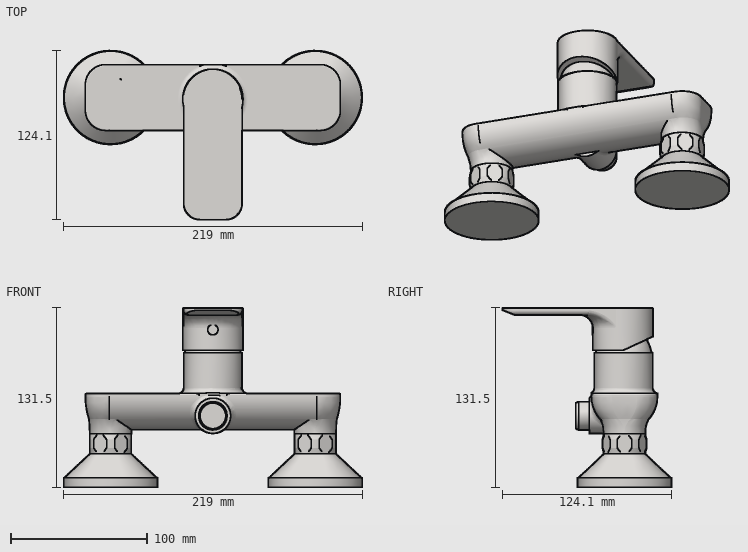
import cadquery as cq
import math

TOTAL_HEIGHT = 131.47
LEVER_TIP_Y = -89.58
INLET_SPACING = 150.0

ESCUTCHEON_RADIUS = 34.5
ESCUTCHEON_RIM_HEIGHT = 7.0
CONE_BASE_RADIUS = 34.0

NUT_BOTTOM = 24.5
NUT_TOP = 39.4
NUT_RADIUS = 16.3
NUT_END_RADIUS = 15.3
NUT_TAPER = 4.5
NUT_ACROSS_FLATS = 30.7

COLLAR_RADIUS = 15.4
COLLAR_CORNER = 15.3
COLLAR_WAIST_Z = 46.0
COLLAR_WAIST_FRACTION = 0.3
COLLAR_TOP = 50.0

BODY_LENGTH = 187.0
BODY_RADIUS = 24.2
BODY_AXIS_Z = 66.35
BODY_TOP = 68.8
BODY_CORNER_RADIUS = 15.0
BODY_TOP_FILLET = 1.2
SHOULDER_SECTIONS = 5
SHOULDER_BASE_CORNER = 13.5
STRAIGHT_HALF_LENGTH = 76.0
END_INSET = 2.6

OUTLET_Z = 52.4
BOSS_RADIUS = 13.0
BOSS_FACE_Y = -25.8
BOSS_BLEND = 4.0
OUTLET_RADIUS = 10.4
OUTLET_TIP_Y = -35.9
OUTLET_CHAMFER_LENGTH = 2.2
OUTLET_CHAMFER_DEPTH = 1.0

TOWER_Y = -0.7
TOWER_RADIUS = 21.5
TOWER_TOP = 98.7
TOWER_FLARE = 4.1

NECK_RADIUS = 20.6
NECK_TOP_RADIUS = 16.0
NECK_TOP = 110.0
NECK_BULGE = 0.6

HANDLE_Y = -1.2
HANDLE_RADIUS = 22.1
HANDLE_BOTTOM = 100.3
HANDLE_BACK_BOTTOM = 110.5
LEVER_THICKNESS = 5.2
LEVER_HALF_WIDTH = 21.5
LEVER_CORNER_RADIUS = 12.0
LEVER_TOP_FILLET = 0.8
LEVER_TIP_THICKNESS = 1.6
LEVER_TIP_SLOPE_LENGTH = 9.0
LEVER_BLEND_RADIUS = 9.6
LEVER_EDGE_RADIUS = 3.4
LEVER_ROOT_Z = HANDLE_BOTTOM + 1.0
BUTTON_RADIUS = 3.8
BUTTON_Z = 115.5
BUTTON_PROUD = 0.2


def inlet(x):
    """Escutcheon and union nut of one wall connection."""
    escutcheon = (
        cq.Workplane("XZ")
        .polyline([
            (0, 0),
            (ESCUTCHEON_RADIUS, 0),
            (ESCUTCHEON_RADIUS, ESCUTCHEON_RIM_HEIGHT),
            (CONE_BASE_RADIUS, ESCUTCHEON_RIM_HEIGHT),
            (NUT_END_RADIUS, NUT_BOTTOM),
            (0, NUT_BOTTOM),
        ])
        .close()
        .revolve(360, (0, 0), (0, 1))
    )
    nut_round = (
        cq.Workplane("XZ")
        .polyline([
            (0, NUT_BOTTOM),
            (NUT_END_RADIUS, NUT_BOTTOM),
            (NUT_RADIUS, NUT_BOTTOM + NUT_TAPER),
            (NUT_RADIUS, NUT_TOP - NUT_TAPER),
            (NUT_END_RADIUS, NUT_TOP),
            (0, NUT_TOP),
        ])
        .close()
        .revolve(360, (0, 0), (0, 1))
    )
    hexagon = (
        cq.Workplane("XY", origin=(0, 0, NUT_BOTTOM))
        .polygon(6, NUT_ACROSS_FLATS, circumscribed=True)
        .extrude(NUT_TOP - NUT_BOTTOM)
    )
    return escutcheon.union(nut_round.intersect(hexagon)).translate((x, 0, 0))


def body_plan(bottom, top):
    """Rounded rectangle of the body between two heights."""
    return (
        cq.Workplane("XY", origin=(0, 0, bottom))
        .rect(BODY_LENGTH, 2 * BODY_RADIUS)
        .extrude(top - bottom)
        .edges("|Z")
        .fillet(BODY_CORNER_RADIUS)
    )


def shoulder_section(z):
    """Half length, half width and corner radius of the body at a height below its axis."""
    drop = (BODY_AXIS_Z - z) / (BODY_AXIS_Z - COLLAR_TOP)
    half_length = BODY_LENGTH / 2 - END_INSET * drop ** 2
    half_width = math.sqrt(BODY_RADIUS ** 2 - (BODY_AXIS_Z - z) ** 2)
    corner = BODY_CORNER_RADIUS + (SHOULDER_BASE_CORNER - BODY_CORNER_RADIUS) * drop
    return half_length, half_width, corner


def rounded_wire(half_length, half_width, corner, x, z):
    """Horizontal rounded rectangle centred at (x, 0, z)."""
    block = (
        cq.Workplane("XY", origin=(x, 0, z))
        .rect(2 * half_length, 2 * half_width)
        .extrude(1)
        .edges("|Z")
        .fillet(corner)
    )
    return block.faces("<Z").wires().val()


def collar(x):
    """Stub that necks down from the end of the body to the round top of a union nut."""
    body_half_length, top_half_width, top_corner = shoulder_section(COLLAR_TOP)
    top_half_length = body_half_length - INLET_SPACING / 2
    wires = []
    for z, fraction in ((COLLAR_TOP, 1), (COLLAR_WAIST_Z, COLLAR_WAIST_FRACTION), (NUT_TOP, 0)):
        half_length = COLLAR_RADIUS + (top_half_length - COLLAR_RADIUS) * fraction
        half_width = COLLAR_RADIUS + (top_half_width - COLLAR_RADIUS) * fraction
        corner = COLLAR_CORNER + (top_corner - COLLAR_CORNER) * fraction
        wires.append(rounded_wire(half_length, half_width, corner, x, z))
    return cq.Workplane(cq.Solid.makeLoft(wires))


def shoulders():
    """Tapering middle of the body, from its axis down to the collars."""
    depth = BODY_AXIS_Z - COLLAR_TOP
    wires = []
    for step in range(SHOULDER_SECTIONS):
        z = BODY_AXIS_Z - depth * step / (SHOULDER_SECTIONS - 1)
        half_length, half_width, corner = shoulder_section(z)
        wires.append(rounded_wire(half_length, half_width, corner, 0, z))
    return cq.Workplane(cq.Solid.makeLoft(wires))


def bar():
    """Half-round bar with tapered ends and a filleted flat top."""
    straight_length = 2 * STRAIGHT_HALF_LENGTH
    u_bar = (
        cq.Workplane("YZ", origin=(-STRAIGHT_HALF_LENGTH, 0, 0))
        .moveTo(-BODY_RADIUS, BODY_AXIS_Z)
        .threePointArc((0, BODY_AXIS_Z - BODY_RADIUS), (BODY_RADIUS, BODY_AXIS_Z))
        .close()
        .extrude(straight_length)
    )
    middle = cq.Workplane("XY").box(straight_length, 2 * BODY_LENGTH, 2 * TOTAL_HEIGHT)
    top_slab = body_plan(BODY_AXIS_Z, BODY_TOP).faces(">Z").edges().fillet(BODY_TOP_FILLET)
    return u_bar.union(shoulders().cut(middle)).union(top_slab)


def outlet():
    """Boss and spigot of the outlet."""
    blend_half_length = BOSS_RADIUS + 2 * BOSS_BLEND
    core = (
        cq.Workplane("YZ", origin=(-blend_half_length, 0, 0))
        .center(0, BODY_AXIS_Z)
        .circle(BODY_RADIUS)
        .extrude(2 * blend_half_length)
        .rotate((0, 0, BODY_AXIS_Z), (1, 0, BODY_AXIS_Z), 90)
    )
    boss = (
        cq.Workplane("XZ", origin=(0, -BOSS_FACE_Y, 0))
        .center(0, OUTLET_Z)
        .circle(BOSS_RADIUS)
        .extrude(-2 * BOSS_FACE_Y)
        .rotate((0, 0, OUTLET_Z), (0, 1, OUTLET_Z), 90)
    )
    blended = core.union(boss).edges("%BSPLINE").fillet(BOSS_BLEND)
    front_half = cq.Workplane("XY").box(
        4 * blend_half_length,
        -BOSS_FACE_Y,
        BODY_TOP - BODY_TOP_FILLET,
        centered=(True, False, False),
    ).translate((0, BOSS_FACE_Y, 0))
    boss = blended.intersect(front_half)
    chamfer_y = OUTLET_TIP_Y + OUTLET_CHAMFER_LENGTH
    spigot = (
        cq.Workplane("XY")
        .polyline([
            (0, 0),
            (OUTLET_RADIUS, 0),
            (OUTLET_RADIUS, chamfer_y),
            (OUTLET_RADIUS - OUTLET_CHAMFER_DEPTH, OUTLET_TIP_Y),
            (0, OUTLET_TIP_Y),
        ])
        .close()
        .revolve(360, (0, 0), (0, 1))
        .translate((0, 0, OUTLET_Z))
    )
    return boss.union(spigot)


def tower():
    """Cartridge tower with a concave flare at its foot, kept inside the body outline."""
    flare_radius = TOWER_RADIUS + TOWER_FLARE
    inset = TOWER_FLARE * (1 - math.sqrt(0.5))
    profile = (
        cq.Workplane("XZ")
        .moveTo(0, BODY_AXIS_Z)
        .lineTo(flare_radius, BODY_AXIS_Z)
        .lineTo(flare_radius, BODY_TOP)
        .threePointArc(
            (TOWER_RADIUS + inset, BODY_TOP + inset),
            (TOWER_RADIUS, BODY_TOP + TOWER_FLARE),
        )
        .lineTo(TOWER_RADIUS, TOWER_TOP)
        .lineTo(0, TOWER_TOP)
        .close()
        .revolve(360, (0, 0), (0, 1))
        .translate((0, TOWER_Y, 0))
    )
    return profile.intersect(body_plan(BODY_AXIS_Z, TOWER_TOP))


def neck():
    """Domed neck on top of the tower."""
    mid_radius = (NECK_RADIUS + NECK_TOP_RADIUS) / 2 + NECK_BULGE
    return (
        cq.Workplane("XZ")
        .moveTo(0, TOWER_TOP)
        .lineTo(NECK_RADIUS, TOWER_TOP)
        .threePointArc((mid_radius, (TOWER_TOP + NECK_TOP) / 2), (NECK_TOP_RADIUS, NECK_TOP))
        .lineTo(0, NECK_TOP)
        .close()
        .revolve(360, (0, 0), (0, 1))
        .translate((0, TOWER_Y, 0))
    )


def lever():
    """Flat lever with rounded lower edges and the concave blend that joins it to the handle cap."""
    bottom = TOTAL_HEIGHT - LEVER_THICKNESS
    blend_inset = LEVER_BLEND_RADIUS * (1 - math.sqrt(0.5))
    length = HANDLE_Y - LEVER_TIP_Y
    plan = (
        cq.Workplane("XY", origin=(0, HANDLE_Y - length / 2, LEVER_ROOT_Z))
        .rect(2 * LEVER_HALF_WIDTH, length)
        .extrude(TOTAL_HEIGHT - LEVER_ROOT_Z)
        .edges("|Z and <Y")
        .fillet(LEVER_CORNER_RADIUS)
    )
    side_profile = (
        cq.Workplane("XZ")
        .moveTo(0, LEVER_ROOT_Z)
        .lineTo(HANDLE_RADIUS, LEVER_ROOT_Z)
        .lineTo(HANDLE_RADIUS, bottom - LEVER_BLEND_RADIUS)
        .threePointArc(
            (HANDLE_RADIUS + blend_inset, bottom - blend_inset),
            (HANDLE_RADIUS + LEVER_BLEND_RADIUS, bottom),
        )
        .lineTo(2 * length, bottom)
        .lineTo(2 * length, TOTAL_HEIGHT)
        .lineTo(0, TOTAL_HEIGHT)
        .close()
        .revolve(360, (0, 0), (0, 1))
        .translate((0, HANDLE_Y, 0))
    )
    tip_slope = (
        cq.Workplane("YZ", origin=(-HANDLE_RADIUS, 0, 0))
        .polyline([
            (LEVER_TIP_Y, bottom),
            (LEVER_TIP_Y, TOTAL_HEIGHT - LEVER_TIP_THICKNESS),
            (LEVER_TIP_Y + LEVER_TIP_SLOPE_LENGTH, bottom),
        ])
        .close()
        .extrude(2 * HANDLE_RADIUS)
    )
    blank = plan.intersect(side_profile)
    rounded = blank.edges("|Y").edges("<Y").fillet(LEVER_EDGE_RADIUS)
    return rounded.cut(tip_slope)


def handle():
    """Handle cap, cut away at the back, with its lever and the round button on its front."""
    cap = (
        cq.Workplane("XY", origin=(0, HANDLE_Y, HANDLE_BOTTOM))
        .circle(HANDLE_RADIUS)
        .extrude(TOTAL_HEIGHT - HANDLE_BOTTOM)
    )
    back_cut = (
        cq.Workplane("YZ", origin=(-HANDLE_RADIUS, 0, 0))
        .polyline([
            (HANDLE_Y, HANDLE_BOTTOM),
            (HANDLE_Y + HANDLE_RADIUS, HANDLE_BOTTOM),
            (HANDLE_Y + HANDLE_RADIUS, HANDLE_BACK_BOTTOM),
        ])
        .close()
        .extrude(2 * HANDLE_RADIUS)
    )
    button = (
        cq.Workplane("XZ", origin=(0, HANDLE_Y, 0))
        .center(0, BUTTON_Z)
        .circle(BUTTON_RADIUS)
        .extrude(HANDLE_RADIUS + BUTTON_PROUD)
    )
    grip = cap.cut(back_cut).union(lever())
    grip = grip.faces(">Z").edges().fillet(LEVER_TOP_FILLET)
    return grip.union(button)


body = bar()
for side in (-1, 1):
    body = body.union(collar(side * INLET_SPACING / 2))
body = body.union(outlet()).union(tower()).union(neck())
for side in (-1, 1):
    body = body.union(inlet(side * INLET_SPACING / 2))
result = body.union(handle())